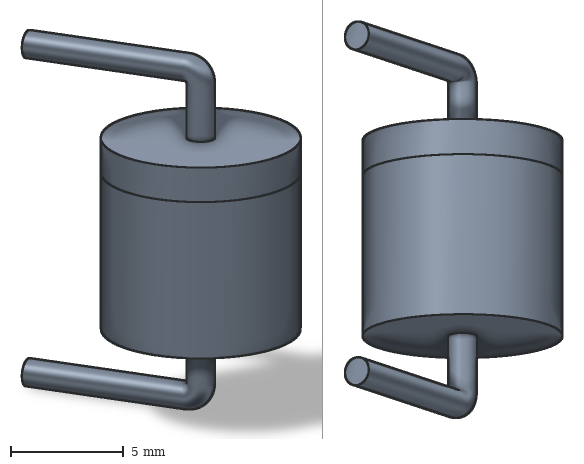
import cadquery as cq

total_height = 16.56
total_length = 12.97
barrel_diameter = 8.9
barrel_height = 8.9
band_height = 1.6
wire_diameter = 1.28
bend_radius = 0.66

wire_radius = wire_diameter / 2
barrel_top = barrel_height / 2
barrel_bottom = -barrel_top
band_bottom = barrel_top - band_height
lead_level = total_height / 2 - wire_radius
lead_tip_x = barrel_diameter / 2 - total_length


def cylinder(diameter, bottom, height):
    """Upright cylinder on the Z axis."""
    return cq.Workplane("XY").workplane(offset=bottom).circle(diameter / 2).extrude(height)


def bent_lead(side):
    """Lead leaving the barrel end on the Z axis and bending toward -X; side is +1 (top) or -1 (bottom)."""
    start_z = side * barrel_top
    bend_start_z = side * (lead_level - bend_radius)
    upright = cylinder(wire_diameter, start_z, bend_start_z - start_z)
    bend = (
        cq.Workplane("XY", origin=(0, 0, bend_start_z))
        .circle(wire_radius)
        .revolve(90, (-bend_radius, 0, 0), (-bend_radius, -side, 0))
    )
    arm = (
        cq.Workplane("YZ", origin=(lead_tip_x, 0, side * lead_level))
        .circle(wire_radius)
        .extrude(-bend_radius - lead_tip_x)
    )
    return upright.union(bend).union(arm)


main_barrel = cylinder(barrel_diameter, barrel_bottom, band_bottom - barrel_bottom).union(bent_lead(-1))

band_cap = cylinder(barrel_diameter, band_bottom, band_height).union(bent_lead(1))

result = cq.Compound.makeCompound([main_barrel.val(), band_cap.val()])